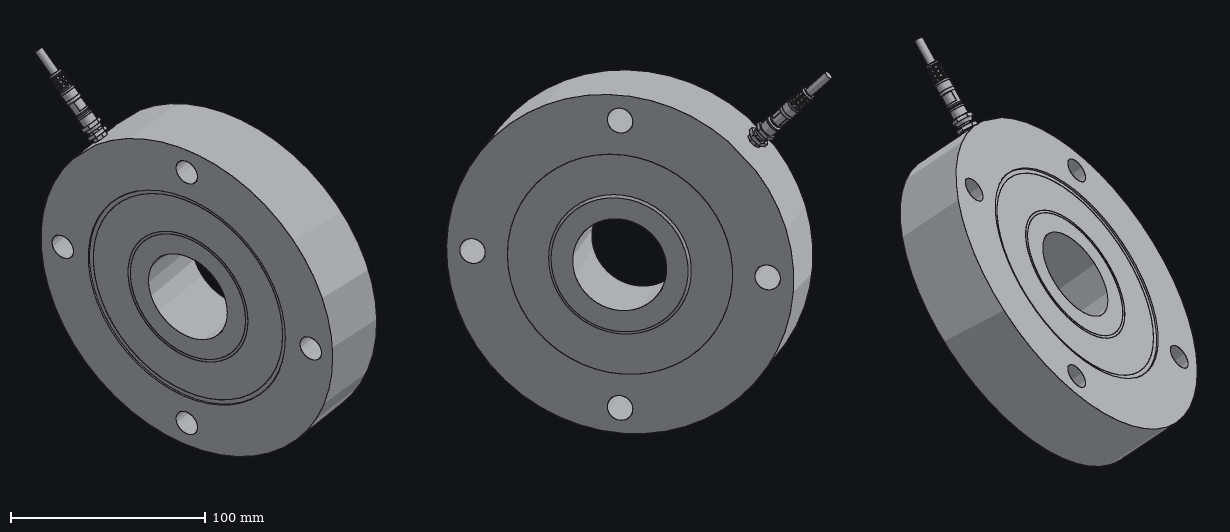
import cadquery as cq
import math

RING_DIAMETER = 185.0
RING_RADIUS = RING_DIAMETER / 2
RIM_WIDTH = 39.0
HUB_BACK = 40.0
BORE_DIAMETER = 50.0
RECESS_DIAMETER = 125.0
RECESS_DEPTH = 1.0
WEB_OUTER_DIAMETER = 120.0
WEB_INNER_DIAMETER = 76.0
HUB_DIAMETER = 73.0
GROOVE_DEPTH = 0.1
WEB_RISE = 0.2
BOLT_DIAMETER = 13.5
BOLT_CIRCLE_DIAMETER = 157.1
BOLT_COUNT = 4
FLAT_DISTANCE = 91.9
CONNECTOR_Y = 15.0

CABLE_DIAMETER = 4.8
OVERALL_SIZE = 199.0
CABLE_END = (OVERALL_SIZE - RING_RADIUS) * math.sqrt(2) - CABLE_DIAMETER / 2 - FLAT_DISTANCE

NECK_SIDES = 8
NECK_ACROSS_FLATS = 8.0
HEX_SIDES = 6
HEX_ACROSS_CORNERS = 11.7
LOWER_HEX_START = 2.2
LOWER_HEX_END = 4.4
CONE_START = 5.5
UPPER_HEX_START = 7.5
SHELL_START = 9.7

SHELL_DIAMETER = 8.5
LIP_DIAMETER = 9.1
LIP_START = 14.3
LIP_END = 15.3
TAPER_END = 16.1
SHELL_NECK_DIAMETER = 7.2
SLEEVE_START = 17.0

SLEEVE_DIAMETER = 8.4
PANEL_START = 18.1
PANEL_END = 23.7
PANEL_DEPTH = 0.3
PANEL_HALF_ANGLE = 55.0
COLLAR_START = 23.9

COLLAR_RIM_DIAMETER = 8.8
COLLAR_RIM_END = 25.7
COLLAR_DIAMETER = 8.4
COLLAR_BAND_START = 29.8
BOOT_START = 31.0

BOOT_DIAMETER = 7.8
BOOT_TIP_DIAMETER = 6.8
BOOT_TIP_LENGTH = 1.2
BOOT_END = 41.5
WINDOW_COUNT = 4
WINDOW_ROWS = 7
WINDOW_LENGTH = 0.8
WINDOW_WIDTH = 4.0
FIRST_WINDOW = 32.2
WINDOW_PITCH = 1.3


def connector_plane(distance):
    """Plane parallel to the flat: local Z outward along the cable, local Y along the ring axis."""
    along = (FLAT_DISTANCE + distance) / math.sqrt(2)
    return cq.Plane(origin=(-along, CONNECTOR_Y, along), xDir=(1, 0, 1), normal=(-1, 0, 1))


def cylinder(diameter, start, end):
    return cq.Workplane(connector_plane(start)).circle(diameter / 2).extrude(end - start)


def prism(sides, corner_diameter, start, end, turn=0.0):
    plane = connector_plane(start).rotated((0, 0, turn))
    return cq.Workplane(plane).polygon(sides, corner_diameter).extrude(end - start)


def cone(start_diameter, end_diameter, start, end):
    return (
        cq.Workplane(connector_plane(start)).circle(start_diameter / 2)
        .workplane(offset=end - start).circle(end_diameter / 2).loft()
    )


def make_sensor_ring():
    web_back = RIM_WIDTH + WEB_RISE
    groove_floor = RECESS_DEPTH + GROOVE_DEPTH
    profile = [
        (BORE_DIAMETER / 2, RECESS_DEPTH),
        (HUB_DIAMETER / 2, RECESS_DEPTH),
        (HUB_DIAMETER / 2, groove_floor),
        (WEB_INNER_DIAMETER / 2, groove_floor),
        (WEB_INNER_DIAMETER / 2, RECESS_DEPTH),
        (WEB_OUTER_DIAMETER / 2, RECESS_DEPTH),
        (WEB_OUTER_DIAMETER / 2, groove_floor),
        (RECESS_DIAMETER / 2, groove_floor),
        (RECESS_DIAMETER / 2, 0),
        (RING_RADIUS, 0),
        (RING_RADIUS, RIM_WIDTH),
        (WEB_OUTER_DIAMETER / 2, RIM_WIDTH),
        (WEB_OUTER_DIAMETER / 2, web_back),
        (WEB_INNER_DIAMETER / 2, web_back),
        (HUB_DIAMETER / 2, HUB_BACK),
        (BORE_DIAMETER / 2, HUB_BACK),
    ]
    ring = cq.Workplane("XY").polyline(profile).close().revolve(360, (0, 0, 0), (0, 1, 0))
    bolt_holes = (
        cq.Workplane("XZ")
        .polarArray(BOLT_CIRCLE_DIAMETER / 2, 0, 360, BOLT_COUNT)
        .circle(BOLT_DIAMETER / 2).extrude(-HUB_BACK)
    )
    beyond_flat = cq.Workplane(connector_plane(0)).rect(RING_DIAMETER, RING_DIAMETER).extrude(RING_RADIUS)
    return ring.cut(bolt_holes).cut(beyond_flat)


def make_receptacle():
    """Eight-sided neck with two hexagons; a cone leads up to the outer hexagon."""
    neck_corner_diameter = NECK_ACROSS_FLATS / math.cos(math.pi / NECK_SIDES)
    neck = prism(NECK_SIDES, neck_corner_diameter, 0, CONE_START, turn=180 / NECK_SIDES)
    lower_hex = prism(HEX_SIDES, HEX_ACROSS_CORNERS, LOWER_HEX_START, LOWER_HEX_END)
    hex_across_flats = HEX_ACROSS_CORNERS * math.cos(math.pi / HEX_SIDES)
    shoulder = cone(NECK_ACROSS_FLATS, hex_across_flats, CONE_START, UPPER_HEX_START)
    upper_hex = prism(HEX_SIDES, HEX_ACROSS_CORNERS, UPPER_HEX_START, SHELL_START)
    return neck.union(lower_hex).union(shoulder).union(upper_hex)


def make_shell():
    """Plug shell with a raised lip that tapers down to a thin neck at the sleeve."""
    barrel = cylinder(SHELL_DIAMETER, SHELL_START, LIP_START)
    lip = cylinder(LIP_DIAMETER, LIP_START, LIP_END)
    taper = cone(LIP_DIAMETER, SHELL_NECK_DIAMETER, LIP_END, TAPER_END)
    neck = cylinder(SHELL_NECK_DIAMETER, TAPER_END, SLEEVE_START)
    return barrel.union(lip).union(taper).union(neck)


def make_sleeve():
    """Sleeve with two shallow grip panels on opposite sides."""
    sleeve = cylinder(SLEEVE_DIAMETER, SLEEVE_START, COLLAR_START)
    panel_length = PANEL_END - PANEL_START
    panel_band = cylinder(SLEEVE_DIAMETER, PANEL_START, PANEL_END).cut(
        cylinder(SLEEVE_DIAMETER - 2 * PANEL_DEPTH, PANEL_START, PANEL_END)
    )
    wedge_length = SLEEVE_DIAMETER
    wedge_half_width = wedge_length * math.tan(math.radians(PANEL_HALF_ANGLE))
    for side in (1, -1):
        wedge = (
            cq.Workplane(connector_plane(PANEL_START))
            .polyline([
                (0, 0),
                (side * wedge_length, -wedge_half_width),
                (side * wedge_length, wedge_half_width),
            ])
            .close().extrude(panel_length)
        )
        sleeve = sleeve.cut(panel_band.intersect(wedge))
    return sleeve


def make_collar():
    """Collar with a raised rim at the sleeve and a raised band at the boot."""
    rim = cylinder(COLLAR_RIM_DIAMETER, COLLAR_START, COLLAR_RIM_END)
    barrel = cylinder(COLLAR_DIAMETER, COLLAR_RIM_END, COLLAR_BAND_START)
    band = cylinder(COLLAR_RIM_DIAMETER, COLLAR_BAND_START, BOOT_START)
    return rim.union(barrel).union(band)


def make_boot():
    """Strain-relief boot: rows of windows, the first turned half a step, then alternating."""
    tip_start = BOOT_END - BOOT_TIP_LENGTH
    boot = cylinder(BOOT_DIAMETER, BOOT_START, tip_start)
    boot = boot.union(cone(BOOT_DIAMETER, BOOT_TIP_DIAMETER, tip_start, BOOT_END))
    boot = boot.cut(cylinder(CABLE_DIAMETER, BOOT_START, BOOT_END))
    step = 360 / WINDOW_COUNT
    for row in range(WINDOW_ROWS):
        start = FIRST_WINDOW + row * WINDOW_PITCH - WINDOW_LENGTH / 2
        for index in range(WINDOW_COUNT // 2):
            plane = connector_plane(start).rotated((0, 0, (index + (row + 1) / 2) * step))
            slot = cq.Workplane(plane).rect(2 * BOOT_DIAMETER, WINDOW_WIDTH).extrude(WINDOW_LENGTH)
            boot = boot.cut(slot)
    return boot


sensor_ring = make_sensor_ring()
receptacle = make_receptacle()
shell = make_shell()
sleeve = make_sleeve()
collar = make_collar()
boot = make_boot()
cable = cylinder(CABLE_DIAMETER, BOOT_START, CABLE_END)

result = cq.Compound.makeCompound([
    sensor_ring.val(),
    receptacle.val(),
    shell.val(),
    sleeve.val(),
    collar.val(),
    boot.val(),
    cable.val(),
])